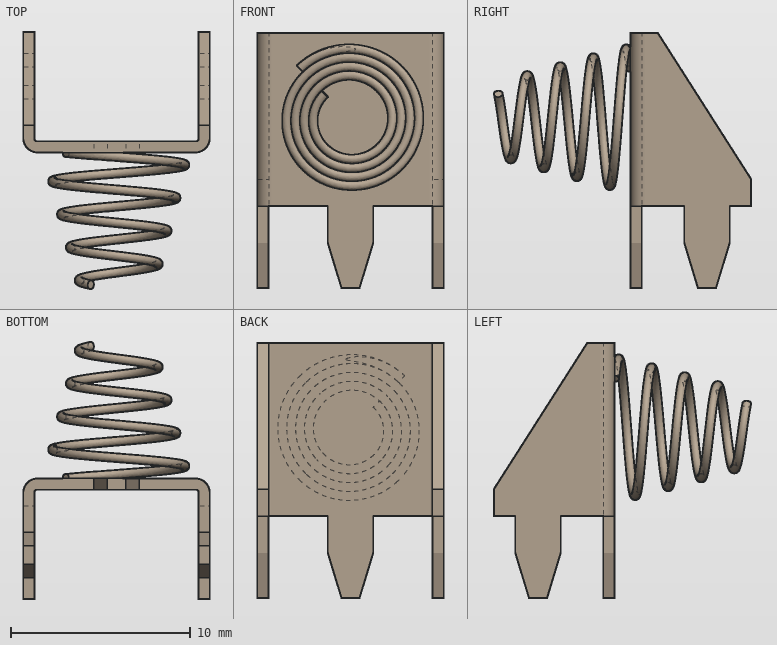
import cadquery as cq
import math

WIDTH = 10.41
WING_DEPTH = 6.735
PLATE_HEIGHT = 9.652
SHEET = 0.635
BEND_INNER_RADIUS = 0.127
BEND_OUTER_RADIUS = 0.81
WING_TOP_DEPTH = 1.53
WING_BACK_HEIGHT = 1.5

PRONG_LENGTH = 4.572
PRONG_WIDTH = 2.54
PRONG_STRAIGHT = 2.06
PRONG_TIP_WIDTH = 1.016
WING_PRONG_Y = 4.27

WIRE_DIAMETER = 0.5
SPRING_TURNS = 4
SPRING_LENGTH = 7.365
SPRING_BASE_RADIUS = 4.0
SPRING_TIP_RADIUS = 2.02
SPRING_START_ANGLE = math.radians(135)
SPRING_CENTER_Z = PLATE_HEIGHT / 2
POINTS_PER_TURN = 24


def bracket_body():
    """U-shaped folded sheet with the upper rear corner of both wings cut off."""
    outer = (
        cq.Workplane("XY")
        .box(WIDTH, WING_DEPTH, PLATE_HEIGHT, centered=(True, False, False))
        .edges("|Z and <Y")
        .fillet(BEND_OUTER_RADIUS)
    )
    channel = (
        cq.Workplane("XY")
        .box(WIDTH - 2 * SHEET, WING_DEPTH, PLATE_HEIGHT, centered=(True, False, False))
        .translate((0, SHEET, 0))
        .edges("|Z and <Y")
        .fillet(BEND_INNER_RADIUS)
    )
    side_profile = (
        cq.Workplane("YZ")
        .polyline([
            (0, 0),
            (WING_DEPTH, 0),
            (WING_DEPTH, WING_BACK_HEIGHT),
            (WING_TOP_DEPTH, PLATE_HEIGHT),
            (0, PLATE_HEIGHT),
        ])
        .close()
        .extrude(WIDTH / 2, both=True)
    )
    return outer.cut(channel).intersect(side_profile)


def prong(plane, center):
    """Tapered prong hanging below Z = 0, one sheet thick along the plane normal."""
    half_width = PRONG_WIDTH / 2
    half_tip = PRONG_TIP_WIDTH / 2
    return (
        cq.Workplane(plane)
        .polyline([
            (center - half_width, 0),
            (center - half_width, -PRONG_STRAIGHT),
            (center - half_tip, -PRONG_LENGTH),
            (center + half_tip, -PRONG_LENGTH),
            (center + half_width, -PRONG_STRAIGHT),
            (center + half_width, 0),
        ])
        .close()
        .extrude(SHEET)
    )


def spring_point(fraction):
    """Point on the wire's centre line, from the base (0) to the tip (1)."""
    angle = SPRING_START_ANGLE - 2 * math.pi * SPRING_TURNS * fraction
    radius = SPRING_BASE_RADIUS + (SPRING_TIP_RADIUS - SPRING_BASE_RADIUS) * fraction
    return (
        radius * math.cos(angle),
        -SPRING_LENGTH * fraction,
        SPRING_CENTER_Z + radius * math.sin(angle),
    )


def spring():
    """Round wire swept along the conical coil."""
    path = cq.Workplane("XY").parametricCurve(spring_point, N=SPRING_TURNS * POINTS_PER_TURN)
    start_plane = cq.Plane(
        origin=spring_point(0),
        xDir=(0, 1, 0),
        normal=(math.sin(SPRING_START_ANGLE), 0, -math.cos(SPRING_START_ANGLE)),
    )
    return cq.Workplane(start_plane).circle(WIRE_DIAMETER / 2).sweep(path, isFrenet=True)


front_prong = prong("XZ", 0).translate((0, SHEET, 0))
left_prong = prong("YZ", WING_PRONG_Y).translate((-WIDTH / 2, 0, 0))
right_prong = prong("YZ", WING_PRONG_Y).translate((WIDTH / 2 - SHEET, 0, 0))

part = bracket_body()
for piece in (front_prong, left_prong, right_prong, spring()):
    part = part.union(piece)

result = cq.Workplane(part.solids().val())